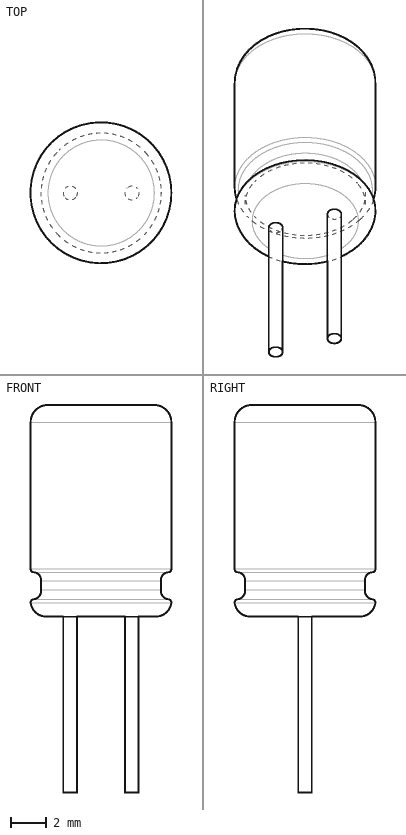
import cadquery as cq
import math

total_height = 22.0
lead_length = 9.99
can_radius = 4.0
top_round = 1.0

base_radius = 3.01
groove_radius = 3.4
lip_round = 0.2
rim_height = 0.8
neck_bottom = 1.52
neck_top = 2.05
shoulder_height = 2.7

lead_radius = 0.4
lead_pitch = 3.5

cove_radius = can_radius - lip_round
lower_cove_height = rim_height + lip_round
upper_cove_height = shoulder_height - lip_round
diagonal = math.sqrt(0.5)


def round_middle(center_r, center_z, size_r, size_z):
    """Middle point of a quarter arc; signed sizes give its direction."""
    return center_r + size_r * diagonal, center_z + size_z * diagonal


def make_can():
    """Revolve half of the can's section about Z, with its underside at Z = 0."""
    can_height = total_height - lead_length
    top_center_r = can_radius - top_round
    top_center_z = can_height - top_round
    cove_depth = cove_radius - groove_radius

    profile = (
        cq.Workplane("XZ")
        .lineTo(base_radius, 0)
        .threePointArc(
            round_middle(base_radius, rim_height, can_radius - base_radius, -rim_height),
            (can_radius, rim_height),
        )
        .threePointArc(
            round_middle(cove_radius, rim_height, lip_round, lip_round),
            (cove_radius, lower_cove_height),
        )
        .threePointArc(
            round_middle(cove_radius, neck_bottom, -cove_depth, lower_cove_height - neck_bottom),
            (groove_radius, neck_bottom),
        )
        .lineTo(groove_radius, neck_top)
        .threePointArc(
            round_middle(cove_radius, neck_top, -cove_depth, upper_cove_height - neck_top),
            (cove_radius, upper_cove_height),
        )
        .threePointArc(
            round_middle(cove_radius, shoulder_height, lip_round, -lip_round),
            (can_radius, shoulder_height),
        )
        .lineTo(can_radius, top_center_z)
        .threePointArc(
            round_middle(top_center_r, top_center_z, top_round, top_round),
            (top_center_r, can_height),
        )
        .lineTo(0, can_height)
        .close()
    )
    return profile.revolve(360, (0, 0, 0), (0, 1, 0))


def make_leads():
    """Two round leads side by side along X, reaching up to the can."""
    centers = [(-lead_pitch / 2, 0), (lead_pitch / 2, 0)]
    return cq.Workplane("XY").pushPoints(centers).circle(lead_radius).extrude(lead_length)


result = make_can().translate((0, 0, lead_length)).union(make_leads())